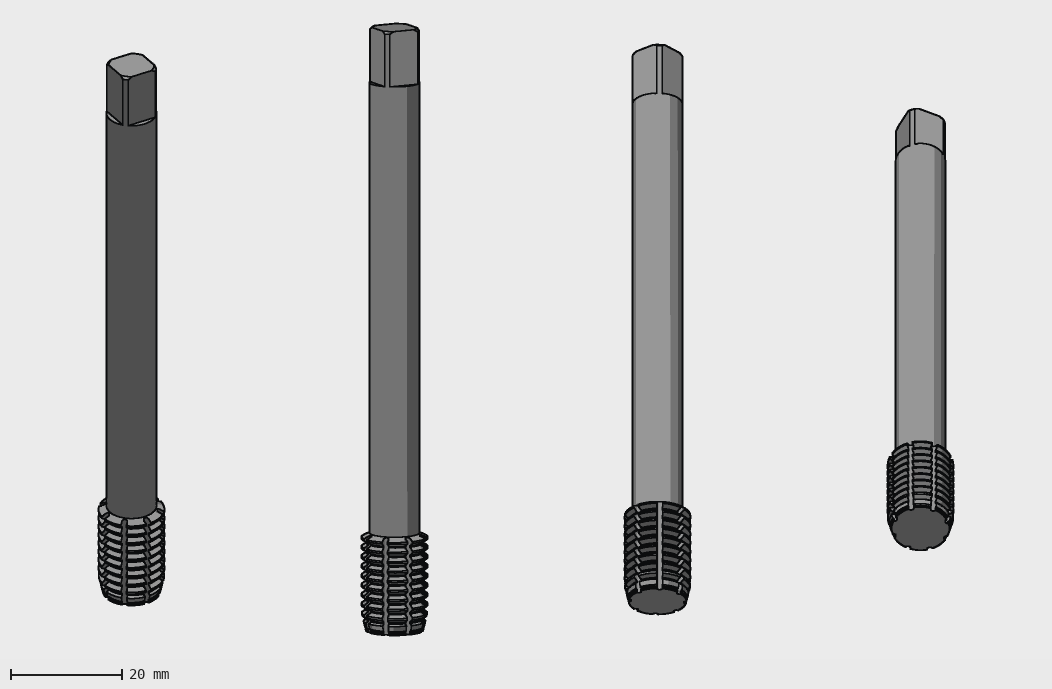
import cadquery as cq

TOTAL_LENGTH = 110.0
SHANK_DIAMETER = 9.0
END_CHAMFER = 0.4

SQUARE_SIDE = 7.0
SQUARE_LENGTH = 10.0

HEAD_LENGTH = 17.8
CREST_DIAMETER = 11.9
ROOT_DIAMETER = 10.1
CREST_WIDTH = 0.3
ROOT_WIDTH = 0.2
RIDGE_COUNT = 11
RIDGE_SPAN = 17.4
TOP_RIDGE_DROP = 0.9

LEAD_END_DIAMETER = 10.3
LEAD_LENGTH = 3.3

GROOVE_COUNT = 8
GROOVE_WIDTH = 1.0
GROOVE_FLOOR_DIAMETER = 9.5

SHANK_RADIUS = SHANK_DIAMETER / 2
CREST_RADIUS = CREST_DIAMETER / 2
ROOT_RADIUS = ROOT_DIAMETER / 2
THREAD_PITCH = RIDGE_SPAN / (RIDGE_COUNT - 1)
GROOVE_FLOOR_RADIUS = GROOVE_FLOOR_DIAMETER / 2


def revolve_about_z(profile):
    """Solid of revolution about Z from a closed outline of (radius, height) points."""
    return cq.Workplane("XZ").polyline(profile).close().revolve(360, (0, 0, 0), (0, 1, 0))


def make_shank():
    """Round bar standing on the head, its top end milled to a square with rounded corners."""
    square_base = TOTAL_LENGTH - SQUARE_LENGTH
    bar = (
        cq.Workplane("XY")
        .workplane(offset=HEAD_LENGTH)
        .circle(SHANK_RADIUS)
        .extrude(TOTAL_LENGTH - HEAD_LENGTH)
        .faces(">Z")
        .chamfer(END_CHAMFER)
    )
    square = (
        cq.Workplane("XY")
        .workplane(offset=square_base)
        .rect(SQUARE_SIDE, SQUARE_SIDE)
        .extrude(SQUARE_LENGTH)
    )
    waste = (
        cq.Workplane("XY")
        .workplane(offset=square_base)
        .rect(2 * SHANK_DIAMETER, 2 * SHANK_DIAMETER)
        .extrude(SQUARE_LENGTH)
        .cut(square)
    )
    return bar.cut(waste)


def make_ridged_blank():
    """Solid blank with ring-shaped thread ridges and a conical top."""
    half_crest = CREST_WIDTH / 2
    half_foot = (THREAD_PITCH - ROOT_WIDTH) / 2
    top_ridge_height = HEAD_LENGTH - TOP_RIDGE_DROP
    profile = [
        (0, HEAD_LENGTH),
        (SHANK_RADIUS, HEAD_LENGTH),
        (CREST_RADIUS, top_ridge_height + half_crest),
        (CREST_RADIUS, top_ridge_height - half_crest),
        (ROOT_RADIUS, top_ridge_height - half_foot),
    ]
    for index in range(1, RIDGE_COUNT):
        height = top_ridge_height - index * THREAD_PITCH
        profile += [
            (ROOT_RADIUS, height + half_foot),
            (CREST_RADIUS, height + half_crest),
            (CREST_RADIUS, height - half_crest),
            (ROOT_RADIUS, height - half_foot),
        ]
    profile.append((0, height - half_foot))
    return revolve_about_z(profile)


def make_lead_envelope():
    """Solid that bounds the head, flat at the bottom and tapered there to trim the lowest ridges."""
    return revolve_about_z([
        (0, 0),
        (LEAD_END_DIAMETER / 2, 0),
        (CREST_RADIUS, LEAD_LENGTH),
        (CREST_RADIUS, HEAD_LENGTH),
        (0, HEAD_LENGTH),
    ])


def make_groove(angle):
    """Cutter for one straight oil groove with a half-round floor, at an angle about Z."""
    half_width = GROOVE_WIDTH / 2
    floor_center = GROOVE_FLOOR_RADIUS + half_width
    return (
        cq.Workplane("XY")
        .moveTo(CREST_RADIUS, -half_width)
        .lineTo(floor_center, -half_width)
        .threePointArc((GROOVE_FLOOR_RADIUS, 0), (floor_center, half_width))
        .lineTo(CREST_RADIUS, half_width)
        .close()
        .extrude(HEAD_LENGTH)
        .rotate((0, 0, 0), (0, 0, 1), angle)
    )


def make_head():
    """Threaded head that carries the shank on its flat top."""
    head = make_ridged_blank().intersect(make_lead_envelope())
    for index in range(GROOVE_COUNT):
        head = head.cut(make_groove(index * 360 / GROOVE_COUNT))
    return head


shank = make_shank()
head = make_head()

result = cq.Compound.makeCompound([shank.val(), head.val()])